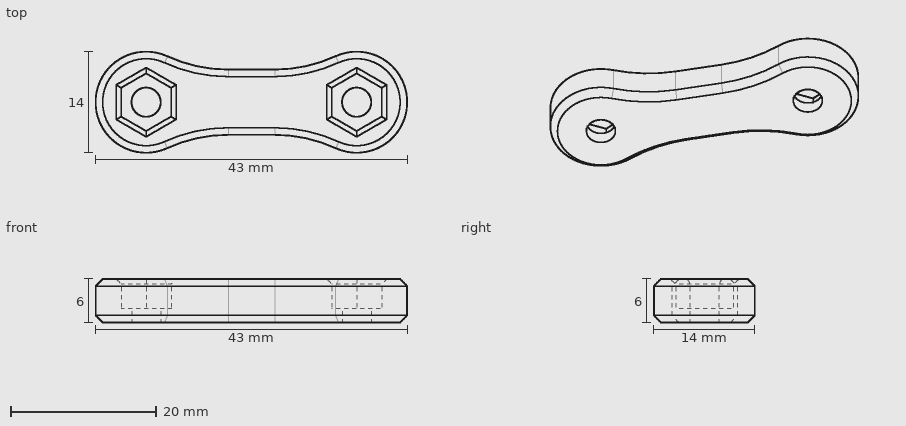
import cadquery as cq
import math

length = 42.95
end_diameter = 13.95
thickness = 6.0
edge_chamfer = 1.0

waist_width = 9.0
waist_blend_radius = 20.0

bolt_diameter = 4.0
nut_across_flats = 6.87
pocket_floor = 1.98
pocket_chamfer = 0.7

end_radius = end_diameter / 2
end_center = length / 2 - end_radius
waist_half = waist_width / 2

blend_center_y = waist_half + waist_blend_radius
center_distance = end_radius + waist_blend_radius
blend_center_x = end_center - math.sqrt(center_distance**2 - blend_center_y**2)
tangent_share = end_radius / center_distance
tangent_x = end_center + tangent_share * (blend_center_x - end_center)
tangent_y = tangent_share * blend_center_y


def make_body():
    """Extrude the waisted outline and chamfer its top and bottom edges."""
    outline = (
        cq.Workplane("XY")
        .moveTo(-blend_center_x, waist_half)
        .lineTo(blend_center_x, waist_half)
        .radiusArc((tangent_x, tangent_y), -waist_blend_radius)
        .threePointArc((length / 2, 0), (tangent_x, -tangent_y))
        .radiusArc((blend_center_x, -waist_half), -waist_blend_radius)
        .lineTo(-blend_center_x, -waist_half)
        .radiusArc((-tangent_x, -tangent_y), -waist_blend_radius)
        .threePointArc((-length / 2, 0), (-tangent_x, tangent_y))
        .radiusArc((-blend_center_x, waist_half), -waist_blend_radius)
        .close()
    )
    body = outline.extrude(thickness)
    return body.faces("<Z or >Z").edges().chamfer(edge_chamfer)


def make_nut_cutter(center_x):
    """Make a bolt hole and a hexagonal pocket with a flared mouth."""
    corner_diameter = nut_across_flats / math.cos(math.pi / 6)
    mouth_diameter = (nut_across_flats + 2 * pocket_chamfer) / math.cos(math.pi / 6)
    flare_bottom = thickness - pocket_chamfer

    hole = cq.Workplane("XY").circle(bolt_diameter / 2).extrude(thickness)
    pocket = (
        cq.Workplane("XY", origin=(0, 0, pocket_floor))
        .polygon(6, corner_diameter)
        .extrude(thickness - pocket_floor)
    )
    flare = (
        cq.Workplane("XY", origin=(0, 0, flare_bottom))
        .polygon(6, corner_diameter)
        .workplane(offset=pocket_chamfer)
        .polygon(6, mouth_diameter)
        .loft(ruled=True)
    )
    cutter = hole.union(pocket).union(flare)
    return cutter.rotate((0, 0, 0), (0, 0, 1), 90).translate((center_x, 0, 0))


result = make_body()
for side in (-1, 1):
    result = result.cut(make_nut_cutter(side * end_center))